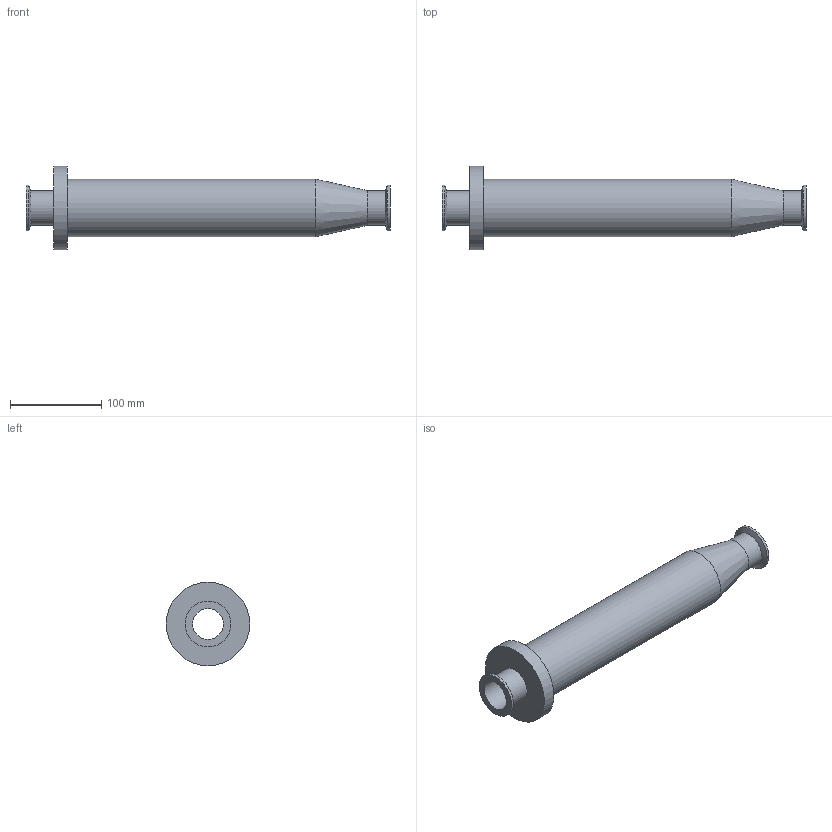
import cadquery as cq
import math

total_length = 400.0
flange_start = 30.4
flange_thickness = 15.0
cone_start = 318.0
outlet_neck_length = 25.0

bore_diameter = 34.1
neck_diameter = 38.1
ferrule_diameter = 50.5
body_diameter = 63.5
flange_diameter = 91.5

ferrule_rim_thickness = 2.85
ferrule_back_angle = 20.0

ferrule_radial_step = (ferrule_diameter - neck_diameter) / 2
ferrule_back_length = ferrule_radial_step * math.tan(math.radians(ferrule_back_angle))
ferrule_length = ferrule_rim_thickness + ferrule_back_length
flange_end = flange_start + flange_thickness
cone_end = total_length - outlet_neck_length
inlet_face = -total_length / 2


def make_housing():
    """Revolve the bored outline about the X axis."""
    bore_radius = bore_diameter / 2
    neck_radius = neck_diameter / 2
    ferrule_radius = ferrule_diameter / 2
    body_radius = body_diameter / 2
    flange_radius = flange_diameter / 2

    outline = [
        (0, bore_radius),
        (0, ferrule_radius),
        (ferrule_rim_thickness, ferrule_radius),
        (ferrule_length, neck_radius),
        (flange_start, neck_radius),
        (flange_start, flange_radius),
        (flange_end, flange_radius),
        (flange_end, body_radius),
        (cone_start, body_radius),
        (cone_end, neck_radius),
        (total_length - ferrule_length, neck_radius),
        (total_length - ferrule_rim_thickness, ferrule_radius),
        (total_length, ferrule_radius),
        (total_length, bore_radius),
    ]
    return (
        cq.Workplane("XZ")
        .polyline(outline)
        .close()
        .revolve(360, (0, 0, 0), (1, 0, 0))
        .translate((inlet_face, 0, 0))
    )


result = make_housing()